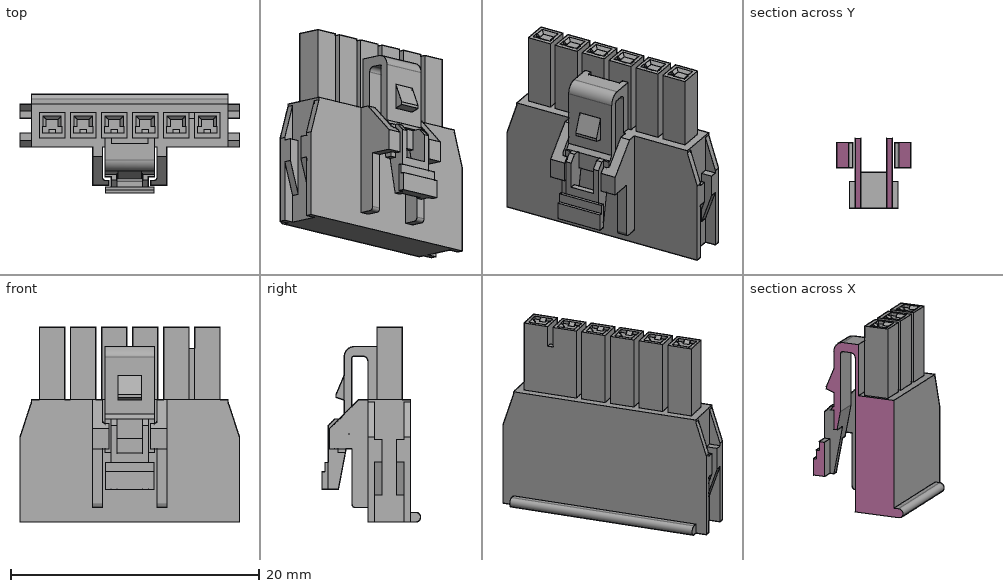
import cadquery as cq


total_height = 15.7
housing_height = 9.86
housing_depth = 3.46
core_half_width = 7.93
wing_half_width = 8.85
wing_thickness = 0.53
wing_taper_low = 6.85
wing_taper_high = 9.66

rail_thickness = 0.62
rail_top = 6.65
rail_full_bottom = 4.85
rail_bottom = 2.2

lip_reach = 0.8
lip_height = 0.79

tower_count = 6
tower_pitch = 2.5
tower_size = 2.05
tower_front = 0.74
tower_rear = tower_front + tower_size
web_top = 14.0
web_thickness = 0.5

socket_depth = 0.25
funnel_width = 1.46
funnel_rear_wall = 0.3
funnel_length = 0.82
slot_width = 1.56
slot_length = 0.55
wedge_width = 0.51
wedge_length = 0.32

post_outer = 3.0
post_inner = 2.18
post_reach = 1.28
post_bottom = 1.16
post_corner_radius = 0.3
hook_reach = 3.09
hook_bottom = 5.9
hook_nose_top = 7.53
hook_tip_inner = 1.69
hook_tip_thickness = 0.41
hook_corner_radius = 0.22

lever_half_width = 2.0
lever_top = 14.16
lever_arch_bottom = 13.36
lever_back = 1.28
lever_front = 1.91
bend_outer_radius = 0.87
bend_inner_rear_radius = 0.4
bend_inner_front_radius = 0.17
relief_half_width = 1.455
relief_front = 0.31

shoulder_front = 2.39
shoulder_slope_top = 8.7
shoulder_slope_reach = 0.3
shoulder_top = 8.32
shoulder_bottom = 5.6
tail_half_width = 1.51
tail_front = 3.2
tail_bottom = 2.64
tail_bottom_back = 2.36
tail_chamfer = 0.55

window_half_width = 1.03
window_bottom = 5.55
window_back_wall_bottom = 6.72
channel_front = 2.71

pad_half_width = 1.955
pad_top = 4.81
pad_step_height = 4.06
pad_step_reach = 0.25
pad_reach = 0.5

ramp_half_width = 0.96
ramp_top = 11.82
ramp_nose_top = 10.26
ramp_nose_bottom = 10.04
ramp_bottom = 9.83
ramp_nose_front = 2.57


def block(x_range, y_range, z_range):
    """Box between the given limits."""
    size = [high - low for low, high in (x_range, y_range, z_range)]
    corner = (x_range[0], y_range[0], z_range[0])
    return cq.Workplane("XY").box(*size, centered=False).translate(corner)


def bar(profile, x_low, x_high):
    """Prism along X from a closed list of (y, z) points."""
    plane = cq.Workplane("YZ", origin=(x_low, 0, 0))
    return plane.polyline(profile).close().extrude(x_high - x_low)


def centred_bar(profile, half_width):
    return bar(profile, -half_width, half_width)


def on_both_sides(shape):
    return shape.union(shape.mirror("YZ"))


def tower_centre(index):
    return (index - (tower_count - 1) / 2) * tower_pitch


def make_wing(y_low):
    """Tapered plate, wider than the core, standing at one depth of the housing."""
    half_outline = [
        (0, 0),
        (wing_half_width, 0),
        (wing_half_width, wing_taper_low),
        (core_half_width, wing_taper_high),
        (core_half_width, housing_height),
        (0, housing_height),
    ]
    rear_face = cq.Workplane("XZ", origin=(0, y_low + wing_thickness, 0))
    return on_both_sides(rear_face.polyline(half_outline).close().extrude(wing_thickness))


def make_rails(y_low):
    """Pair of end rails whose lower part slopes back into the core."""
    profile = [
        (core_half_width, rail_bottom),
        (wing_half_width, rail_full_bottom),
        (wing_half_width, rail_top),
        (core_half_width, rail_top),
    ]
    rear_face = cq.Workplane("XZ", origin=(0, y_low + rail_thickness, 0))
    return on_both_sides(rear_face.polyline(profile).close().extrude(rail_thickness))


def make_lip():
    """Lip with a fully rounded nose, running the width of the core."""
    nose_radius = lip_height / 2
    nose_start = housing_depth + lip_reach - nose_radius
    root = housing_depth - wing_thickness
    profile = (
        cq.Workplane("YZ", origin=(-core_half_width, 0, 0))
        .moveTo(root, 0)
        .lineTo(nose_start, 0)
        .threePointArc((housing_depth + lip_reach, nose_radius), (nose_start, lip_height))
        .lineTo(root, lip_height)
        .close()
    )
    return profile.extrude(2 * core_half_width)


def make_housing():
    core_range = (-core_half_width, core_half_width)
    housing = block(core_range, (0, housing_depth), (0, housing_height))
    rear_wing_y = housing_depth - wing_thickness
    for wing_y in (0, rear_wing_y):
        housing = housing.union(make_wing(wing_y))
    for rail_y in (wing_thickness, rear_wing_y - rail_thickness):
        housing = housing.union(make_rails(rail_y))
    return housing.union(make_lip())


def make_tower(x_centre):
    half_size = tower_size / 2
    x_range = (x_centre - half_size, x_centre + half_size)
    return block(x_range, (tower_front, tower_rear), (0, total_height))


def make_socket(x_centre):
    """Cavity: a funnel sloped on three sides, opening into a straight slot with a wedge."""
    floor = total_height - socket_depth
    funnel_rear = tower_rear - funnel_rear_wall
    funnel_front = funnel_rear - funnel_length
    slot_front = funnel_front - slot_length

    funnel = (
        cq.Workplane("XY", origin=(x_centre, funnel_front, floor))
        .rect(funnel_width - 2 * socket_depth, 2 * (funnel_length - socket_depth))
        .workplane(offset=socket_depth)
        .rect(funnel_width, 2 * funnel_length)
        .loft(ruled=True)
    )
    half_slot = slot_width / 2
    slot_x = (x_centre - half_slot, x_centre + half_slot)
    z_range = (floor, total_height)
    funnel = funnel.intersect(block(slot_x, (funnel_front, funnel_rear), z_range))
    slot = block(slot_x, (slot_front, funnel_front), z_range)

    wedge_profile = [
        (slot_front, floor),
        (slot_front + wedge_length, floor),
        (slot_front, total_height),
    ]
    half_wedge = wedge_width / 2
    wedge = bar(wedge_profile, x_centre - half_wedge, x_centre + half_wedge)
    return funnel.union(slot).cut(wedge)


def make_web():
    """Thin web closing the rear of the gap between the last two towers."""
    x_range = (tower_centre(tower_count - 2), tower_centre(tower_count - 1))
    return block(x_range, (tower_rear - web_thickness, tower_rear), (0, web_top))


def make_posts():
    """Guard posts, each with a hook that reaches in towards the lever."""
    slope_start = hook_reach - (housing_height - hook_nose_top)
    hook_profile = [
        (0, hook_bottom),
        (-hook_reach, hook_bottom),
        (-hook_reach, hook_nose_top),
        (-slope_start, housing_height),
        (0, housing_height),
    ]
    hook = bar(hook_profile, hook_tip_inner, post_outer)
    hook_throat = block(
        (0, post_inner),
        (hook_tip_thickness - hook_reach, 0),
        (hook_bottom, housing_height),
    )
    hook = hook.cut(hook_throat.edges("|Z and >X and <Y").fillet(hook_corner_radius))

    post = block((post_inner, post_outer), (-post_reach, 0), (post_bottom, hook_nose_top))
    post = post.edges("|X and <Y and <Z").fillet(post_corner_radius)
    return on_both_sides(post.union(hook))


def make_lever():
    """Spring lever: a foot on the housing, an arch over the top and a blade hanging in front."""
    x_range = (-lever_half_width, lever_half_width)
    arch = block(x_range, (-lever_front, tower_front), (shoulder_top, lever_top))
    arch = arch.edges("|X and <Y and >Z").fillet(bend_outer_radius)
    gap = block(x_range, (-lever_back, 0), (shoulder_top, lever_arch_bottom))
    gap = gap.edges("|X and >Y and >Z").fillet(bend_inner_rear_radius)
    gap = gap.edges("|X and <Y and >Z").fillet(bend_inner_front_radius)
    relief = block(
        (-relief_half_width, relief_half_width),
        (relief_front, tower_front),
        (housing_height, lever_top),
    )
    return arch.cut(gap).cut(relief)


def tail_back(height):
    """Distance in front of the housing of the leaning rear face of the tail."""
    lean = (tail_bottom_back - lever_back) / (shoulder_top - tail_bottom)
    return lever_back + lean * (shoulder_top - height)


def make_tail():
    """Wide shoulder and narrower tail below the blade, with the window and rear channel."""
    shoulder_profile = [
        (-lever_back, shoulder_top),
        (-lever_back, shoulder_slope_top),
        (-lever_front, shoulder_slope_top),
        (-lever_front - shoulder_slope_reach, shoulder_top),
        (-shoulder_front, shoulder_top),
        (-shoulder_front, shoulder_bottom),
        (-tail_back(shoulder_bottom), shoulder_bottom),
    ]
    tail_profile = [
        (-lever_back, shoulder_top),
        (tail_chamfer - tail_front, shoulder_top),
        (-tail_front, shoulder_top - tail_chamfer),
        (-tail_front, tail_bottom),
        (-tail_bottom_back, tail_bottom),
    ]
    tail = centred_bar(shoulder_profile, lever_half_width)
    tail = tail.union(centred_bar(tail_profile, tail_half_width))

    window_x = (-window_half_width, window_half_width)
    window_z = (window_bottom, shoulder_top)
    window = block(window_x, (-tail_front, -lever_front), window_z)
    channel = block(window_x, (-channel_front, -lever_back), (tail_bottom, window_back_wall_bottom))
    return tail.cut(window).cut(channel)


def make_pad():
    profile = [
        (-tail_front, tail_bottom),
        (-tail_front, pad_top),
        (-tail_front - pad_step_reach, pad_top),
        (-tail_front - pad_step_reach, pad_step_height),
        (-tail_front - pad_reach, pad_step_height),
        (-tail_front - pad_reach, tail_bottom),
    ]
    return centred_bar(profile, pad_half_width)


def make_ramp():
    profile = [
        (-lever_front, ramp_top),
        (-ramp_nose_front, ramp_nose_top),
        (-ramp_nose_front, ramp_nose_bottom),
        (-lever_front, ramp_bottom),
    ]
    return centred_bar(profile, ramp_half_width)


result = make_housing().union(make_posts()).union(make_lever())
result = result.union(make_tail()).union(make_pad()).union(make_ramp()).union(make_web())
for tower in range(tower_count):
    result = result.union(make_tower(tower_centre(tower)))
for tower in range(tower_count):
    result = result.cut(make_socket(tower_centre(tower)))